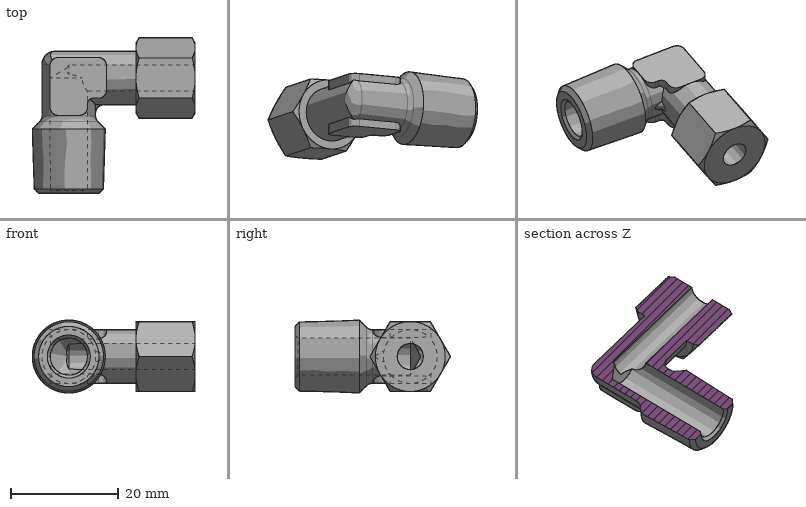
import cadquery as cq
import math

tube_radius = 5.0
edge_radius = 1.52
web_radius = 1.55
web_thickness = 2.0
web_edge_radius = 0.97
heel_radius = 2.5

inlet_end_y = -21.48
thread_top_radius = 6.81
thread_taper = 1 / 32
collar_blend_start_y = -7.05
collar_slope = math.radians(45)
lead_in_chamfer = 0.85

hex_across_flats = 13.02
hex_start_x = 12.5
hex_end_x = 30.35 - thread_top_radius
hex_chamfer_angle = math.radians(30)

plate_left, plate_right = -3.5, 7.0
plate_bottom, plate_top = -6.95, 3.82
notch_x, notch_y = 3.5, -3.75
notch_radius = 1.0

inlet_bore_radius = 3.45
inlet_bore_chamfer = 0.55
outlet_bore_radius = 2.43
drill_half_angle = math.radians(59)


def make_inlet():
    """Revolve the domed tube, blended collar and tapered end about Y."""
    blend_radius = tube_radius + edge_radius * (1 - math.cos(collar_slope))
    blend_end_y = collar_blend_start_y - edge_radius * math.sin(collar_slope)
    blend_mid = (
        tube_radius + edge_radius * (1 - math.cos(collar_slope / 2)),
        collar_blend_start_y - edge_radius * math.sin(collar_slope / 2),
    )
    thread_top_y = blend_end_y - (thread_top_radius - blend_radius) / math.tan(collar_slope)
    thread_end_y = inlet_end_y + lead_in_chamfer
    thread_end_radius = thread_top_radius - thread_taper * (thread_top_y - thread_end_y)
    heel_flat_radius = tube_radius - heel_radius
    heel_mid = (
        heel_flat_radius + heel_radius * math.sin(math.pi / 4),
        tube_radius - heel_radius * (1 - math.cos(math.pi / 4)),
    )
    return (
        cq.Workplane("XY")
        .moveTo(0, inlet_end_y)
        .lineTo(thread_end_radius - lead_in_chamfer, inlet_end_y)
        .lineTo(thread_end_radius, thread_end_y)
        .lineTo(thread_top_radius, thread_top_y)
        .lineTo(blend_radius, blend_end_y)
        .threePointArc(blend_mid, (tube_radius, collar_blend_start_y))
        .lineTo(tube_radius, tube_radius - heel_radius)
        .threePointArc(heel_mid, (heel_flat_radius, tube_radius))
        .lineTo(0, tube_radius)
        .close()
        .revolve(360, (0, 0, 0), (0, 1, 0))
    )


def cylinder_along_x(radius, start_x, end_x):
    return cq.Workplane("YZ", origin=(start_x, 0, 0)).circle(radius).extrude(end_x - start_x)


def make_elbow():
    """Trim the inlet's domed end to the outlet tube, then join the outlet tube."""
    reach = 2 * thread_top_radius
    straight_part = cq.Workplane("XY", origin=(0, inlet_end_y / 2, 0)).box(reach, -inlet_end_y, reach)
    envelope = straight_part.union(cylinder_along_x(tube_radius, -reach, reach))
    return make_inlet().intersect(envelope).union(cylinder_along_x(tube_radius, 0, hex_start_x))


def make_web():
    """Small round-edged web filling the inside corner between the two tubes."""
    tangent = tube_radius + web_radius
    arc_mid = tangent - web_radius * math.sin(math.pi / 4)
    return (
        cq.Workplane("XY", origin=(0, 0, -web_thickness / 2))
        .moveTo(notch_x, -notch_x)
        .lineTo(tangent, -notch_x)
        .lineTo(tangent, -tube_radius)
        .threePointArc((arc_mid, -arc_mid), (tube_radius, -tangent))
        .lineTo(notch_x, -tangent)
        .close()
        .extrude(web_thickness)
        .edges("%CIRCLE")
        .fillet(web_edge_radius)
    )


def make_plates():
    """L-shaped prism forming the upper and lower wrench plates together."""
    outline = [
        (plate_left, plate_bottom),
        (notch_x, plate_bottom),
        (notch_x, notch_y),
        (plate_right, notch_y),
        (plate_right, plate_top),
        (plate_left, plate_top),
    ]
    base = cq.Workplane("XY", origin=(0, 0, -tube_radius))
    plates = base.polyline(outline).close().extrude(2 * tube_radius)
    vertical_edges = cq.selectors.ParallelDirSelector(cq.Vector(0, 0, 1))
    notch_edge = cq.selectors.NearestToPointSelector((notch_x, notch_y, 0))
    outer_edges = cq.selectors.SubtractSelector(vertical_edges, notch_edge)
    return plates.edges(outer_edges).fillet(edge_radius).edges(notch_edge).fillet(notch_radius)


def make_hex():
    """Hexagonal prism with flats facing Z and its corners turned down at both ends."""
    flat_radius = hex_across_flats / 2
    corner_radius = flat_radius / math.cos(math.pi / 6)
    chamfer_length = (corner_radius - flat_radius) * math.tan(hex_chamfer_angle)
    prism = (
        cq.Workplane("YZ", origin=(hex_start_x, 0, 0))
        .polygon(6, 2 * corner_radius)
        .extrude(hex_end_x - hex_start_x)
    )
    turned_envelope = (
        cq.Workplane("XY")
        .moveTo(hex_start_x, 0)
        .lineTo(hex_start_x, flat_radius)
        .lineTo(hex_start_x + chamfer_length, corner_radius)
        .lineTo(hex_end_x - chamfer_length, corner_radius)
        .lineTo(hex_end_x, flat_radius)
        .lineTo(hex_end_x, 0)
        .close()
        .revolve(360, (0, 0, 0), (1, 0, 0))
    )
    return prism.intersect(turned_envelope)


def make_inlet_bore():
    mouth_radius = inlet_bore_radius + inlet_bore_chamfer
    return (
        cq.Workplane("XY")
        .moveTo(0, inlet_end_y)
        .lineTo(mouth_radius, inlet_end_y)
        .lineTo(inlet_bore_radius, inlet_end_y + inlet_bore_chamfer)
        .lineTo(inlet_bore_radius, 0)
        .lineTo(0, inlet_bore_radius / math.tan(drill_half_angle))
        .close()
        .revolve(360, (0, 0, 0), (0, 1, 0))
    )


def make_outlet_bore():
    return (
        cq.Workplane("XY")
        .moveTo(hex_end_x, 0)
        .lineTo(hex_end_x, outlet_bore_radius)
        .lineTo(0, outlet_bore_radius)
        .lineTo(-outlet_bore_radius / math.tan(drill_half_angle), 0)
        .close()
        .revolve(360, (0, 0, 0), (1, 0, 0))
    )


body = make_elbow().union(make_web()).union(make_plates()).union(make_hex())
result = body.cut(make_inlet_bore()).cut(make_outlet_bore())